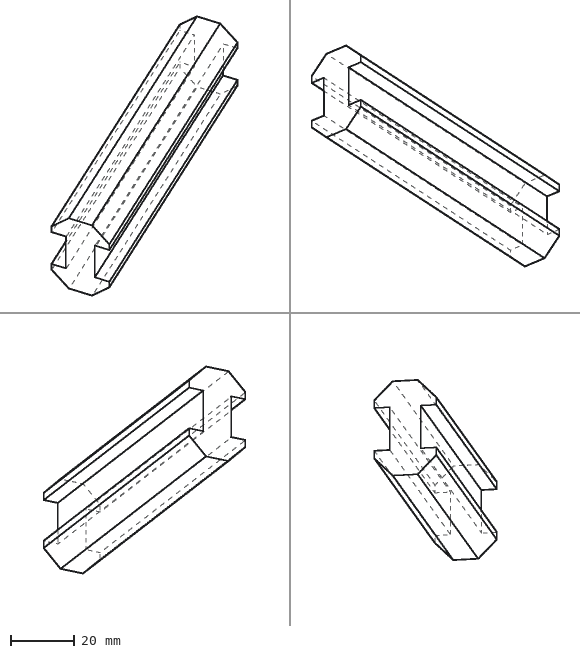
import cadquery as cq

length = 100.0
width = 20.0
height = 31.0

chamfer = 6.0
slot_height = 14.0
web_width = 10.0

slot_depth = (width - web_width) / 2
slot_offset = (width - slot_depth) / 2

result = cq.Workplane("XY").box(width, length, height).edges("|Y").chamfer(chamfer)

for side in (-1, 1):
    slot = cq.Workplane("XY").box(slot_depth, length, slot_height).translate((side * slot_offset, 0, 0))
    result = result.cut(slot)